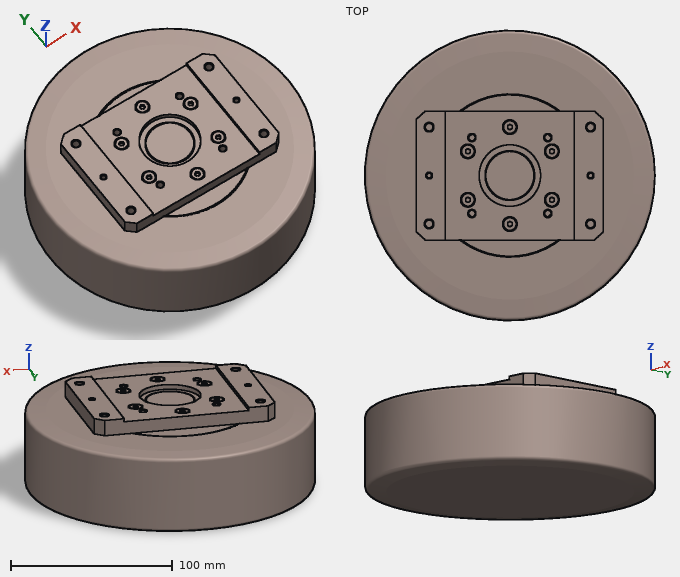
import cadquery as cq
import math

body_diameter = 180.0
body_height = 49.9
flat_face_diameter = 153.9
top_rim_drop = 0.7
bottom_rim_rise = 1.0
edge_radius = 2.2
seam_inner_diameter = 100.0
seam_width = 0.5
seam_depth = 0.9

hub_diameter = 70.0
hub_height = 1.0

plate_length = 116.0
plate_width = 80.0
plate_thickness = 10.0
corner_cut_x = 5.5
corner_cut_y = 5.0
recess_length = 80.0
recess_depth = 2.0

bore_diameter = 38.2
bore_depth = 3.0
bore_seam_inner_diameter = 29.9
bore_seam_width = 0.45

screw_count = 6
screw_circle_radius = 30.0
screw_head_diameter = 8.0
screw_gap = 0.5
screw_gap_depth = 1.8
socket_across_flats = 2.9
socket_depth = 1.8

corner_hole_mouth = 6.0
corner_hole_drill = 4.9
pin_hole_mouth = 4.1
pin_hole_drill = 3.0
pin_hole_depth = 7.2
hub_hole_mouth = 5.0
hub_hole_drill = 4.1
pad_hole_spacing_x = 100.0
pad_hole_spacing_y = 60.0
hub_hole_circle_radius = 33.3

plate_bottom = body_height + hub_height
plate_top = plate_bottom + plate_thickness
recess_floor = plate_top - recess_depth
bore_floor = recess_floor - bore_depth


def disc(diameter, bottom, height):
    return cq.Workplane("XY").workplane(offset=bottom).circle(diameter / 2).extrude(height)


def ring_groove(inner_diameter, width, depth, top, points=((0, 0),)):
    """Thin ring-shaped cutter reaching down from the given height."""
    radius = inner_diameter / 2
    sketch = cq.Workplane("XY").workplane(offset=top).pushPoints(points)
    outer = sketch.circle(radius + width).extrude(-depth)
    inner = sketch.circle(radius).extrude(-depth)
    return outer.cut(inner)


def countersunk_holes(points, mouth, drill, top, bottom):
    """Cutters for flat-bottomed holes with 45 degree mouths."""
    mouth_radius = mouth / 2
    drill_radius = drill / 2
    profile = (
        cq.Workplane("XZ")
        .moveTo(0, bottom)
        .lineTo(drill_radius, bottom)
        .lineTo(drill_radius, top - (mouth_radius - drill_radius))
        .lineTo(mouth_radius, top)
        .lineTo(0, top)
        .close()
    )
    hole = profile.revolve(360, (0, 0), (0, 1))
    cutters = cq.Workplane("XY")
    for x, y in points:
        cutters = cutters.add(hole.translate((x, y, 0)))
    return cutters.combine()


def circle_points(radius, count, start_angle):
    angles = [math.radians(start_angle + 360 / count * i) for i in range(count)]
    return [(radius * math.cos(a), radius * math.sin(a)) for a in angles]


def make_body():
    """Revolved drum with flat faces, slightly conical rims and rounded edges."""
    radius = body_diameter / 2
    rim_radius = radius - edge_radius
    flat_radius = flat_face_diameter / 2
    lower_rim = bottom_rim_rise
    upper_rim = body_height - top_rim_drop
    arc_inset = edge_radius * (1 - math.sqrt(0.5))
    profile = (
        cq.Workplane("XZ")
        .lineTo(flat_radius, 0)
        .lineTo(rim_radius, lower_rim)
        .threePointArc((radius - arc_inset, lower_rim + arc_inset), (radius, lower_rim + edge_radius))
        .lineTo(radius, upper_rim - edge_radius)
        .threePointArc((radius - arc_inset, upper_rim - arc_inset), (rim_radius, upper_rim))
        .lineTo(flat_radius, body_height)
        .lineTo(0, body_height)
        .close()
    )
    drum = profile.revolve(360, (0, 0), (0, 1))
    return drum.cut(ring_groove(seam_inner_diameter, seam_width, seam_depth, body_height))


def make_plate():
    """Plate with cut corners and a full-width recess between two raised pads."""
    half_length = plate_length / 2
    half_width = plate_width / 2
    inner_x = half_length - corner_cut_x
    inner_y = half_width - corner_cut_y
    outline = [
        (-half_length, -inner_y),
        (-inner_x, -half_width),
        (inner_x, -half_width),
        (half_length, -inner_y),
        (half_length, inner_y),
        (inner_x, half_width),
        (-inner_x, half_width),
        (-half_length, inner_y),
    ]
    plate = (
        cq.Workplane("XY")
        .workplane(offset=plate_bottom)
        .polyline(outline)
        .close()
        .extrude(plate_thickness)
    )
    recess = (
        cq.Workplane("XY")
        .workplane(offset=recess_floor)
        .rect(recess_length, plate_width)
        .extrude(recess_depth)
    )
    return plate.cut(recess)


def cut_bore(part):
    part = part.cut(disc(bore_diameter, bore_floor, bore_depth))
    return part.cut(ring_groove(bore_seam_inner_diameter, bore_seam_width, seam_depth, bore_floor))


def cut_screws(part):
    """Clearance ring around each screw head and a hexagon socket in its middle."""
    points = circle_points(screw_circle_radius, screw_count, 90)
    across_corners = socket_across_flats / math.cos(math.radians(30))
    sockets = (
        cq.Workplane("XY")
        .workplane(offset=recess_floor)
        .transformed(rotate=(0, 0, 90))
        .polarArray(screw_circle_radius, 0, 360, screw_count, rotate=False)
        .polygon(6, across_corners)
        .extrude(-socket_depth)
    )
    part = part.cut(ring_groove(screw_head_diameter, screw_gap, screw_gap_depth, recess_floor, points))
    return part.cut(sockets)


def cut_holes(part):
    """Corner holes through the pads, blind pin holes, and holes that end on the hub."""
    pad_x = pad_hole_spacing_x / 2
    pad_y = pad_hole_spacing_y / 2
    corner_points = [(x, y) for x in (-pad_x, pad_x) for y in (-pad_y, pad_y)]
    pin_points = [(-pad_x, 0), (pad_x, 0)]
    hub_points = circle_points(hub_hole_circle_radius, 4, 45)
    corner_holes = countersunk_holes(
        corner_points, corner_hole_mouth, corner_hole_drill, plate_top, plate_bottom
    )
    pin_holes = countersunk_holes(
        pin_points, pin_hole_mouth, pin_hole_drill, plate_top, plate_top - pin_hole_depth
    )
    hub_holes = countersunk_holes(
        hub_points, hub_hole_mouth, hub_hole_drill, recess_floor, plate_bottom
    )
    return part.cut(corner_holes).cut(pin_holes).cut(hub_holes)


solid = make_body().union(disc(hub_diameter, body_height, hub_height)).union(make_plate())
solid = cut_bore(solid)
solid = cut_screws(solid)
result = cut_holes(solid)